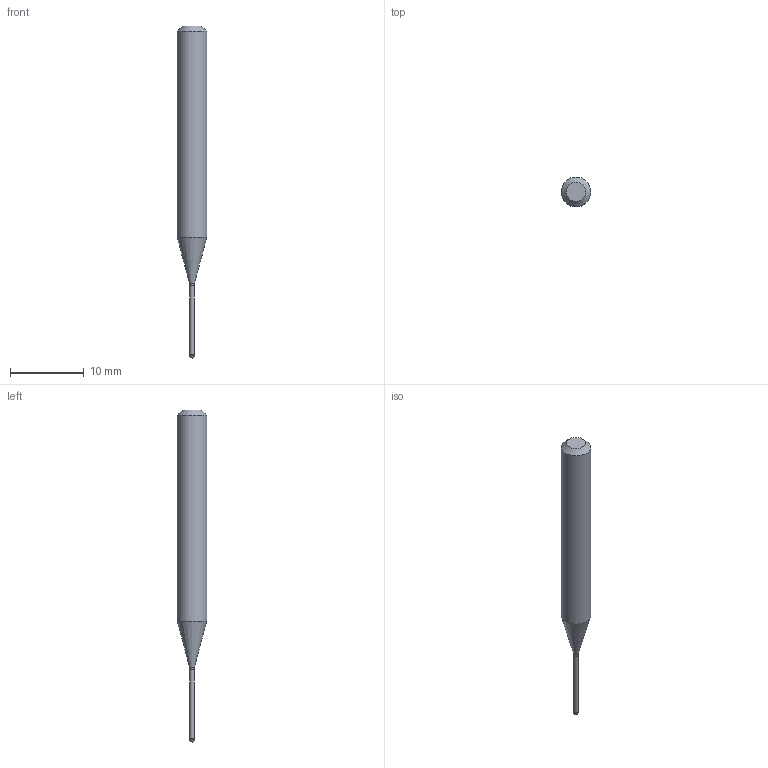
import cadquery as cq
import math

overall_length = 45.0
shank_diameter = 4.0
shank_chamfer = 0.7
ball_diameter = 0.6
cutting_length = 0.45
neck_diameter = 0.55
reach = 10.0
blend_radius = 1.0
cone_half_angle = math.radians(15.0)

shank_radius = shank_diameter / 2
ball_radius = ball_diameter / 2
neck_radius = neck_diameter / 2

blend_center_radius = neck_radius + blend_radius
reach_angle = math.acos((blend_center_radius - ball_radius) / blend_radius)
blend_start = reach - blend_radius * math.sin(reach_angle)
blend_tangent_length = blend_radius * math.tan(cone_half_angle / 2)
cone_length = (shank_radius - neck_radius) / math.tan(cone_half_angle)
cone_top = blend_start + blend_tangent_length + cone_length


def blend_point(angle):
    """Point on the neck blend, turned by the given angle from the end of the neck."""
    return (
        blend_center_radius - blend_radius * math.cos(angle),
        blend_start + blend_radius * math.sin(angle),
    )


def revolve_about_axis(profile):
    """Turn a closed half profile fully around the Z axis."""
    return profile.revolve(360, (0, 0, 0), (0, 1, 0))


def make_cutting_head():
    """Short cylinder ending in a hemispherical tip."""
    arc_offset = ball_radius * math.sqrt(0.5)
    profile = (
        cq.Workplane("XZ")
        .moveTo(0, 0)
        .threePointArc((arc_offset, ball_radius - arc_offset), (ball_radius, ball_radius))
        .lineTo(ball_radius, cutting_length)
        .lineTo(0, cutting_length)
        .close()
    )
    return revolve_about_axis(profile)


def make_shank():
    """Slim neck blended into a cone, then a cylindrical shank with a chamfered end."""
    profile = (
        cq.Workplane("XZ")
        .moveTo(0, cutting_length)
        .lineTo(neck_radius, cutting_length)
        .lineTo(neck_radius, blend_start)
        .threePointArc(blend_point(cone_half_angle / 2), blend_point(cone_half_angle))
        .lineTo(shank_radius, cone_top)
        .lineTo(shank_radius, overall_length - shank_chamfer)
        .lineTo(shank_radius - shank_chamfer, overall_length)
        .lineTo(0, overall_length)
        .close()
    )
    return revolve_about_axis(profile)


cutting_head = make_cutting_head()
shank = make_shank()

result = cq.Compound.makeCompound([cutting_head.val(), shank.val()])